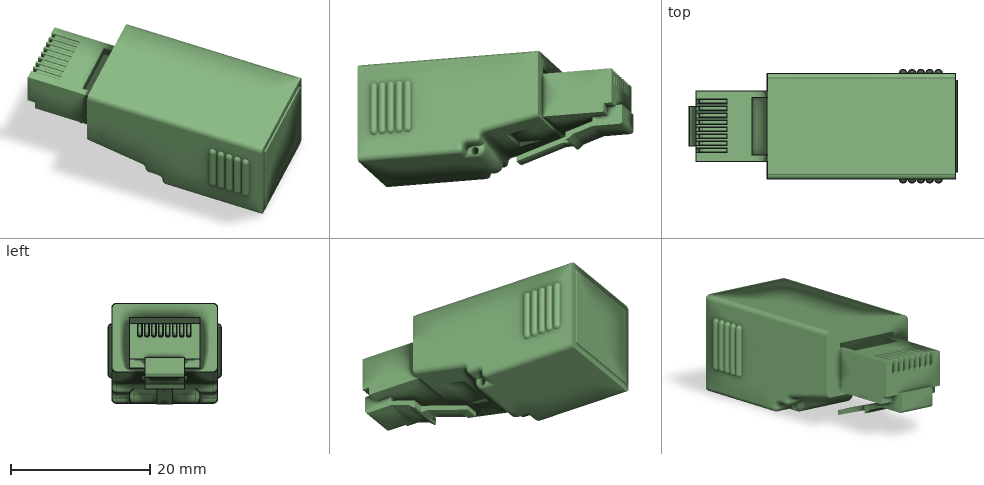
import cadquery as cq
import math


HOUSING_LENGTH = 27.05
HOUSING_WIDTH = 15.2
HOUSING_HEIGHT = 14.35
EDGE_RADIUS = 0.7
CHIN_ANGLE = 11.2
STEP_X = 8.8
STEP_Z = 2.2
LEDGE_LENGTH = 1.25

BAR_WIDTH = 10.15
BAR_NOSE_RADIUS = 1.3
BAR_OVERLAP = 0.95
LANYARD_HOLE_DIAMETER = 1.1
LANYARD_HOLE_X = 10.2
LANYARD_HOLE_Z = 0.8

RELIEF_WIDTH = 6.45
RELIEF_TOP = 4.0
RELIEF_END = 5.95

RIB_COUNT = 5
RIB_PITCH = 1.27
RIB_RADIUS = 0.55
RIB_FIRST_X = 19.5
RIB_BOTTOM = 3.65
RIB_TOP = 11.4

PLUG_WIDTH = 10.15
PLUG_BOTTOM = 5.08
PLUG_TOP = 11.45
PLUG_REACH = 10.25
SOCKET_DEPTH = 1.0
SOCKET_HEADROOM = 0.85
SOCKET_CLEARANCE = 0.1
NOTCH_LENGTH = 1.15
NOTCH_TOP = 6.35
WINDOW_WIDTH = 8.27
WINDOW_REACH = 2.2
WINDOW_DEPTH = 1.4

CONTACT_COUNT = 8
CONTACT_PITCH = 1.0
CONTACT_ROW_Y = 0.058
SLOT_LENGTH = 4.43
SLOT_WIDTH = 0.7
SLOT_DEPTH = 1.95
CONTACT_WIDTH = 0.5
CONTACT_SETBACK = 0.55
CONTACT_TOP_DROP = 0.08
CONTACT_HEIGHT = 1.7
CONTACT_NOSE_RADIUS = 0.4

LATCH_WIDTH = 5.7
LATCH_FRONT = 11.2
LATCH_TOP = 6.58
LATCH_BOTTOM = 3.75
LATCH_NOSE_RADIUS = 0.5
FOOT_END_X = -6.77
ARM_THICKNESS = 0.75
ARM_TIP_X = 5.15
ARM_TIP_Z = -0.1
TOOTH_START_X = -3.8
TOOTH_X = -2.95
TOOTH_Z = 2.08
WIDE_ARM_END_X = -2.75
TAIL_BEND_X = -1.65
TAIL_WIDTH = 2.27

INSERT_WALL = 1.0
INSERT_TOP_WALL = 1.15
INSERT_DEPTH = 1.0
INSERT_PROJECTION = 0.25


def box(x_min, x_max, width, z_min, z_max):
    """Box centred on Y = 0."""
    length = x_max - x_min
    return cq.Workplane("XY").box(length, width, z_max - z_min, centered=(False, True, False)).translate(
        (x_min, 0, z_min)
    )


def side_extrude(outline, width):
    """Extrude a closed X-Z outline symmetrically about Y = 0."""
    return outline.close().extrude(width / 2, both=True)


def arc_point(center_x, center_z, radius, angle):
    """Point of an X-Z circle at an angle in degrees, counted from +X towards +Z."""
    turn = math.radians(angle)
    return (center_x + radius * math.cos(turn), center_z + radius * math.sin(turn))



def housing_block():
    r = EDGE_RADIUS
    slope_normal = 90 - CHIN_ANGLE
    bend_x = STEP_X - r
    slope_end = arc_point(bend_x, STEP_Z, r, slope_normal)
    chin_z = slope_end[1] + slope_end[0] * math.tan(math.radians(CHIN_ANGLE))
    ledge_z = STEP_Z - r
    ledge_start = STEP_X + r
    ledge_end = ledge_start + LEDGE_LENGTH
    outline = (
        cq.Workplane("XZ")
        .moveTo(0, HOUSING_HEIGHT)
        .lineTo(0, chin_z)
        .lineTo(*slope_end)
        .threePointArc(arc_point(bend_x, STEP_Z, r, slope_normal / 2), (STEP_X, STEP_Z))
        .threePointArc(arc_point(ledge_start, STEP_Z, r, 225), (ledge_start, ledge_z))
        .lineTo(ledge_end, ledge_z)
        .threePointArc(arc_point(ledge_end, ledge_z - r, r, 45), (ledge_end + r, ledge_z - r))
        .lineTo(ledge_end + r, r)
        .threePointArc(arc_point(ledge_end + 2 * r, r, r, 225), (ledge_end + 2 * r, 0))
        .lineTo(HOUSING_LENGTH, 0)
        .lineTo(HOUSING_LENGTH, HOUSING_HEIGHT)
    )
    block = side_extrude(outline, HOUSING_WIDTH)
    rounded_edges = block.faces("<Y or >Y").edges("not(<X or >X)")
    return rounded_edges.fillet(r)


def lanyard_bar():
    bar_end = STEP_X + 3 * EDGE_RADIUS + LEDGE_LENGTH + BAR_OVERLAP
    bar_top = STEP_Z + BAR_OVERLAP
    nose = BAR_NOSE_RADIUS
    outline = (
        cq.Workplane("XZ")
        .moveTo(bar_end, 0)
        .lineTo(STEP_X + nose, 0)
        .threePointArc(arc_point(STEP_X + nose, nose, nose, 225), (STEP_X, nose))
        .lineTo(STEP_X, STEP_Z)
        .lineTo(STEP_X + BAR_OVERLAP, bar_top)
        .lineTo(bar_end, bar_top)
    )
    bar = side_extrude(outline, BAR_WIDTH)
    front_and_underside = cq.selectors.BoxSelector(
        (STEP_X - EDGE_RADIUS, -BAR_WIDTH, -EDGE_RADIUS), (bar_end - EDGE_RADIUS, BAR_WIDTH, STEP_Z)
    )
    bar = bar.faces("<Y or >Y").edges(front_and_underside).fillet(EDGE_RADIUS)
    hole = (
        cq.Workplane("XZ")
        .center(LANYARD_HOLE_X, LANYARD_HOLE_Z)
        .circle(LANYARD_HOLE_DIAMETER / 2)
        .extrude(BAR_WIDTH / 2, both=True)
    )
    return bar.cut(hole)


def latch_relief():
    return box(0, RELIEF_END, RELIEF_WIDTH, 0, RELIEF_TOP)


def grip_rib(x, y):
    """Upright rounded bar with ball ends, sunk to half its thickness in the side of the housing."""
    low = RIB_BOTTOM + RIB_RADIUS
    high = RIB_TOP - RIB_RADIUS
    rod = cq.Workplane("XY").circle(RIB_RADIUS).extrude(high - low).translate((x, y, low))
    lower_ball = cq.Workplane("XY").sphere(RIB_RADIUS).translate((x, y, low))
    upper_ball = cq.Workplane("XY").sphere(RIB_RADIUS).translate((x, y, high))
    return rod.union(lower_ball).union(upper_ball)


def plug_seat():
    return box(0, SOCKET_DEPTH, PLUG_WIDTH, PLUG_BOTTOM - SOCKET_CLEARANCE, PLUG_TOP + SOCKET_HEADROOM)


def make_housing():
    housing = housing_block().cut(latch_relief()).union(lanyard_bar())
    for index in range(RIB_COUNT):
        for side in (-1, 1):
            rib = grip_rib(RIB_FIRST_X + index * RIB_PITCH, side * HOUSING_WIDTH / 2)
            housing = housing.union(rib)
    return housing.cut(plug_seat()).cut(make_insert())



def plug_block():
    block = box(-PLUG_REACH, SOCKET_DEPTH, PLUG_WIDTH, PLUG_BOTTOM, PLUG_TOP)
    notch = box(-PLUG_REACH, NOTCH_LENGTH - PLUG_REACH, PLUG_WIDTH, PLUG_BOTTOM, NOTCH_TOP)
    window = box(-WINDOW_REACH, SOCKET_DEPTH, WINDOW_WIDTH, PLUG_TOP - WINDOW_DEPTH, PLUG_TOP)
    return block.cut(notch).cut(window)


def contact_slot(y):
    """Slot with a round bottom, open at the front and top of the plug."""
    radius = SLOT_WIDTH / 2
    axis_z = PLUG_TOP - SLOT_DEPTH + radius
    slot_end = SLOT_LENGTH - PLUG_REACH
    upper = box(-PLUG_REACH, slot_end, SLOT_WIDTH, axis_z, PLUG_TOP)
    lower = cq.Workplane("YZ").circle(radius).extrude(SLOT_LENGTH).translate((-PLUG_REACH, 0, axis_z))
    return upper.union(lower).translate((0, y, 0))


def contact_blade(y):
    """Blade with a rounded nose, held by the rear end of its slot."""
    top = PLUG_TOP - CONTACT_TOP_DROP
    front = CONTACT_SETBACK - PLUG_REACH
    rear = SLOT_LENGTH - PLUG_REACH
    blade = box(front, rear, CONTACT_WIDTH, top - CONTACT_HEIGHT, top)
    return blade.faces("<X").edges("|Y").fillet(CONTACT_NOSE_RADIUS).translate((0, y, 0))


def latch_foot():
    """Foot under the plug, filling the plug's front notch over the width of the latch."""
    foot = box(-LATCH_FRONT, FOOT_END_X, LATCH_WIDTH, LATCH_BOTTOM, LATCH_TOP)
    foot = foot.faces("<X").edges("<Z").fillet(LATCH_NOSE_RADIUS)
    above_plug_edge = box(-PLUG_REACH, FOOT_END_X, LATCH_WIDTH, NOTCH_TOP, LATCH_TOP)
    behind_notch = box(NOTCH_LENGTH - PLUG_REACH, FOOT_END_X, LATCH_WIDTH, PLUG_BOTTOM, LATCH_TOP)
    return foot.cut(above_plug_edge).cut(behind_notch)


def arm_underside(x):
    """Height of the underside of the slanting latch arm."""
    slope = (ARM_TIP_Z - LATCH_BOTTOM) / (ARM_TIP_X - FOOT_END_X)
    return LATCH_BOTTOM + slope * (x - FOOT_END_X)


def latch_arm_wide():
    """Full-width front of the arm, ending in the steep face of the tooth."""
    outline = (
        cq.Workplane("XZ")
        .moveTo(FOOT_END_X, LATCH_BOTTOM)
        .lineTo(TOOTH_START_X, arm_underside(TOOTH_START_X))
        .lineTo(TOOTH_X, TOOTH_Z)
        .lineTo(WIDE_ARM_END_X, TOOTH_Z)
        .lineTo(WIDE_ARM_END_X, arm_underside(WIDE_ARM_END_X) + ARM_THICKNESS)
        .lineTo(FOOT_END_X, LATCH_BOTTOM + ARM_THICKNESS)
    )
    return side_extrude(outline, LATCH_WIDTH)


def latch_tail():
    """Narrow finger tab behind the tooth."""
    outline = (
        cq.Workplane("XZ")
        .moveTo(WIDE_ARM_END_X, TOOTH_Z)
        .lineTo(TAIL_BEND_X, arm_underside(TAIL_BEND_X))
        .lineTo(ARM_TIP_X, ARM_TIP_Z)
        .lineTo(ARM_TIP_X, ARM_TIP_Z + ARM_THICKNESS)
        .lineTo(WIDE_ARM_END_X, arm_underside(WIDE_ARM_END_X) + ARM_THICKNESS)
    )
    return side_extrude(outline, TAIL_WIDTH)


def make_plug():
    plug = plug_block()
    for index in range(CONTACT_COUNT):
        y = CONTACT_ROW_Y + (index - (CONTACT_COUNT - 1) / 2) * CONTACT_PITCH
        plug = plug.cut(contact_slot(y)).union(contact_blade(y))
    return plug.union(latch_foot()).union(latch_arm_wide()).union(latch_tail())



def make_insert():
    return box(
        HOUSING_LENGTH - INSERT_DEPTH,
        HOUSING_LENGTH + INSERT_PROJECTION,
        HOUSING_WIDTH - 2 * INSERT_WALL,
        INSERT_WALL,
        HOUSING_HEIGHT - INSERT_TOP_WALL,
    )


housing = make_housing()
plug = make_plug()
insert = make_insert()

result = cq.Compound.makeCompound([housing.solids().val(), plug.solids().val(), insert.val()])